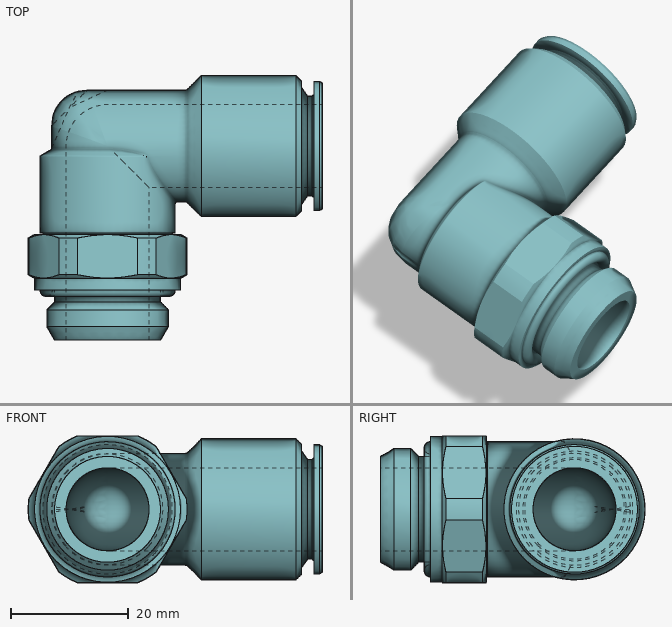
import cadquery as cq
import math


body_radius = 19 / 2
bore_radius = 14.1 / 2
mitre_fillet = 6.0
joint_fillet = 0.3
seam_tolerance = 0.01

sleeve_radius = 23 / 2
sleeve_cone_start = 0.55
sleeve_cone_angle = 30
sleeve_end = 14.75
relief_radius = 22 / 2

hex_flats = 25.0
hex_turned_radius = 27 / 2
hex_start = 15.0
hex_end = 22.5
hex_chamfer_angle = 30

flange_radius = 24.8 / 2
flange_end = 24.5
seal_radius = 23 / 2
seal_section_radius = 1.05

neck_radius = 18 / 2
neck_end = 26.5
thread_radius = 20.7 / 2
thread_end = 33.0
thread_tip_angle = 30

socket_radius = 24 / 2
socket_cone_end = 15.95
socket_cone_fillet = 0.6
socket_end = 33.0
socket_chamfer = 1.0

collar_base_radius = 9.9
collar_radius = 16.95 / 2
collar_start = 34.0
collar_end = 34.75

release_radius = 22 / 2
release_start = 35.05
release_end = 36.5
release_chamfer_length = 0.5
release_chamfer_depth = 0.3


def tan_deg(angle):
    """Tangent of an angle in degrees."""
    return math.tan(math.radians(angle))


def turned_on_leg_axis(stations):
    """Revolve an outline of (radius, distance along -Y) stations about the Y axis."""
    outline = [(radius, -distance) for radius, distance in stations]
    first_distance, last_distance = outline[0][1], outline[-1][1]
    outline = [(0, first_distance)] + outline + [(0, last_distance)]
    return cq.Workplane("XY").polyline(outline).close().revolve(360, (0, 0, 0), (0, 1, 0))


def turned_on_arm_axis(stations):
    """Revolve an outline of (radius, distance along +X) stations about the X axis."""
    outline = [(distance, radius) for radius, distance in stations]
    first_distance, last_distance = outline[0][0], outline[-1][0]
    outline = [(first_distance, 0)] + outline + [(last_distance, 0)]
    return cq.Workplane("XY").polyline(outline).close().revolve(360, (0, 0, 0), (1, 0, 0))


def make_elbow_corner():
    """Outer quarter of the elbow: a mitre with its edge rounded and a ball-ended bore."""
    arm_stub = cq.Workplane("YZ").circle(body_radius).extrude(-body_radius)
    leg_stub = cq.Workplane("XZ").circle(body_radius).extrude(-body_radius)
    corner = arm_stub.intersect(leg_stub)
    outer_quarter = cq.selectors.BoxSelector(
        (-body_radius, mitre_fillet / 2, -body_radius),
        (-mitre_fillet / 2, body_radius, body_radius),
    )
    corner = corner.edges(outer_quarter).fillet(mitre_fillet)
    return corner.cut(cq.Workplane("XY").sphere(bore_radius))


def make_legs():
    """Arm and sleeved leg, with small fillets along the sleeve shoulder and where the arm enters it."""
    sleeve_cone_length = (sleeve_radius - body_radius) * tan_deg(sleeve_cone_angle)
    leg = turned_on_leg_axis([
        (body_radius, 0),
        (body_radius, sleeve_cone_start),
        (sleeve_radius, sleeve_cone_start + sleeve_cone_length),
        (sleeve_radius, sleeve_end),
    ])
    arm = cq.Workplane("YZ").circle(body_radius).extrude(socket_end)
    joint_edges = cq.selectors.BoxSelector(
        (-sleeve_radius, -body_radius, -sleeve_radius),
        (sleeve_radius, -sleeve_cone_start / 2, sleeve_radius),
    )
    elbow = arm.union(leg).edges(joint_edges).edges("not %LINE").fillet(joint_fillet)
    return elbow


def make_hexagon():
    """Hexagon with flats at +Z and -Z, its corners turned round and chamfered at both ends."""
    sides = 6
    corner_to_corner = hex_flats / math.cos(math.pi / sides)
    prism = cq.Workplane("XZ", origin=(0, -hex_start, 0)).polygon(sides, corner_to_corner)
    prism = prism.extrude(hex_end - hex_start)
    chamfer_length = (hex_turned_radius - flange_radius) * tan_deg(hex_chamfer_angle)
    envelope = turned_on_leg_axis([
        (flange_radius, hex_start),
        (hex_turned_radius, hex_start + chamfer_length),
        (hex_turned_radius, hex_end - chamfer_length),
        (flange_radius, hex_end),
    ])
    return prism.intersect(envelope)


def make_threaded_end():
    """Relief above the hexagon, flange below it, neck and plain thread with a tapered tip."""
    thread_depth = thread_radius - neck_radius
    tip_length = thread_depth / tan_deg(thread_tip_angle)
    return turned_on_leg_axis([
        (relief_radius, sleeve_end),
        (relief_radius, hex_end),
        (flange_radius, hex_end),
        (flange_radius, flange_end),
        (neck_radius, flange_end),
        (neck_radius, neck_end),
        (thread_radius, neck_end + thread_depth),
        (thread_radius, thread_end - tip_length),
        (neck_radius, thread_end),
    ])


def make_seal_ring():
    """O-ring half sunk in the flange face."""
    ring_radius = seal_radius - seal_section_radius
    section = cq.Workplane("XY", origin=(ring_radius, -flange_end, 0)).circle(seal_section_radius)
    return section.revolve(360, (-ring_radius, 0, 0), (-ring_radius, 1, 0))


def make_socket():
    """Tube socket with a 45 degree shoulder, blended into the arm."""
    cone_start = socket_cone_end - (socket_radius - body_radius)
    arm_start = cone_start - socket_cone_fillet
    socket = turned_on_arm_axis([
        (body_radius, arm_start),
        (body_radius, cone_start),
        (socket_radius, socket_cone_end),
        (socket_radius, socket_end - socket_chamfer),
        (socket_radius - socket_chamfer, socket_end),
    ])
    shoulder_edge = cq.selectors.BoxSelector(
        (cone_start - socket_cone_fillet / 2, -socket_radius, -socket_radius),
        (cone_start + socket_cone_fillet / 2, socket_radius, socket_radius),
    )
    return socket.edges(shoulder_edge).edges("%CIRCLE").fillet(socket_cone_fillet)


def make_release_end():
    """Tapered collar and the release flange behind it."""
    flare = release_start - collar_end
    return turned_on_arm_axis([
        (collar_base_radius, socket_end),
        (collar_radius, collar_start),
        (collar_radius, collar_end),
        (collar_radius + flare, release_start),
        (release_radius, release_start),
        (release_radius, release_end - release_chamfer_length),
        (release_radius - release_chamfer_depth, release_end),
    ])


def make_bore():
    """Bore along both legs."""
    leg_bore = cq.Workplane("XZ").circle(bore_radius).extrude(thread_end)
    arm_bore = cq.Workplane("YZ").circle(bore_radius).extrude(release_end)
    return leg_bore.union(arm_bore)


def faces_off_seam(shape):
    """All faces except the flat half rings, at X = 0 and Y = 0, where the elbow corner meets the legs."""
    arm_seam = cq.selectors.BoxSelector(
        (-seam_tolerance, bore_radius / 2, -seam_tolerance),
        (seam_tolerance, body_radius, seam_tolerance),
    )
    leg_seam = cq.selectors.BoxSelector(
        (-body_radius, -seam_tolerance, -seam_tolerance),
        (-bore_radius / 2, seam_tolerance, seam_tolerance),
    )
    return shape.faces(-(arm_seam + leg_seam)).vals()


def sew_together(first, second):
    """Join two solids into one by sewing their faces along the open seam."""
    skin = cq.Shell.makeShell(faces_off_seam(first) + faces_off_seam(second))
    return cq.Workplane(cq.Solid.makeSolid(skin.Shells()[0]))


legs = make_legs()
for part in (make_socket(), make_release_end(), make_threaded_end(), make_hexagon(), make_seal_ring()):
    legs = legs.union(part)
legs = legs.cut(make_bore())

result = sew_together(legs, make_elbow_corner()).clean()